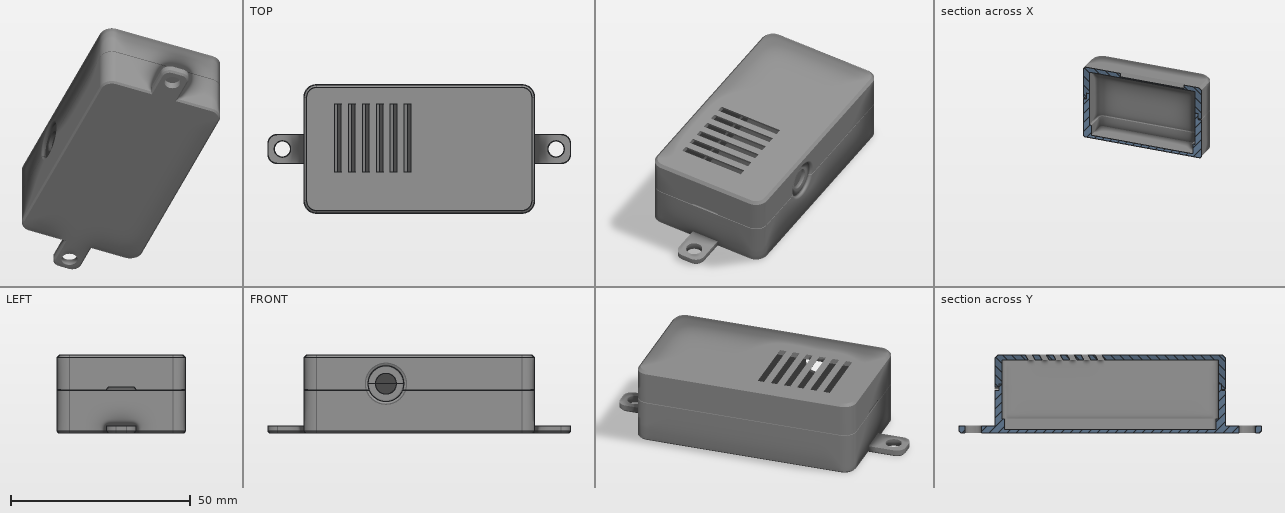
import cadquery as cq
import math

total_length = 84.3
box_length = 64.3
box_width = 35.8
box_height = 21.75
corner_radius = 3.5
top_chamfer = 0.8
bottom_chamfer = 0.5

split_height = 11.9
wall = 2.0
joint_gap = 0.2
lip_thickness = 1.0
lip_height = 1.85
lip_top = split_height + lip_height
roof_thickness = 1.5
floor_thickness = 1.0

ledge_width = 0.7
ledge_top = 4.05

tab_width = 8.1
tab_thickness = 2.0
tab_corner_radius = 2.6
tab_hole_diameter = 4.5
tab_hole_inset = 4.05

port_x = -9.3
port_z = lip_top
port_diameter = 5.8
recess_diameter = 9.95
recess_depth = wall - lip_thickness
recess_rim_radius = 0.8

slot_count = 6
slot_pitch = 3.9
slot_width = 1.85
slot_length = 19.0
slot_tilt = 30.0
slot_slant = roof_thickness * math.tan(math.radians(slot_tilt))
first_slot_left = -23.6
slot_center_y = 3.0

notch_bottom_width = 8.8
notch_top_width = 7.1
notch_height = 0.9


def rounded_block(inset, bottom, top):
    """Box outline moved inward by inset, extruded from bottom to top."""
    block = cq.Workplane("XY", origin=(0, 0, bottom)).rect(box_length - 2 * inset, box_width - 2 * inset)
    return block.extrude(top - bottom).edges("|Z").fillet(corner_radius - inset)


def port_cutter():
    """Hole through the -Y wall with a wide round recess whose rim is rounded over."""
    outside = -box_width / 2
    recess_radius = recess_diameter / 2
    mouth_radius = recess_radius + recess_rim_radius
    inside = outside + 2 * wall
    profile = (
        cq.Workplane("XY", origin=(port_x, 0, port_z))
        .moveTo(0, outside)
        .lineTo(mouth_radius, outside)
        .radiusArc((recess_radius, outside + recess_rim_radius), recess_rim_radius)
        .lineTo(recess_radius, outside + recess_depth)
        .lineTo(port_diameter / 2, outside + recess_depth)
        .lineTo(port_diameter / 2, inside)
        .lineTo(0, inside)
        .close()
    )
    return profile.revolve(360, (0, 0, 0), (0, 1, 0))


def slot_cutter(left):
    """Vent slot whose long walls lean toward +X on the way down through the roof."""
    return (
        cq.Workplane("XZ", origin=(0, slot_center_y, 0))
        .polyline(
            [
                (left, box_height),
                (left + slot_width, box_height),
                (left + slot_width + slot_slant, box_height - roof_thickness),
                (left + slot_slant, box_height - roof_thickness),
            ]
        )
        .close()
        .extrude(slot_length / 2, both=True)
    )


def notch_cutter():
    """Trapezoidal notch through the lid skirt, down to the rim of the base."""
    return (
        cq.Workplane("YZ", origin=(-box_length / 2, 0, split_height))
        .polyline(
            [
                (-notch_bottom_width / 2, 0),
                (notch_bottom_width / 2, 0),
                (notch_top_width / 2, notch_height),
                (-notch_top_width / 2, notch_height),
            ]
        )
        .close()
        .extrude(wall - lip_thickness)
    )


def make_base():
    """Lower tray with a locating lip, an inner ledge and two mounting tabs."""
    tabs = cq.Workplane("XY").rect(total_length, tab_width).extrude(tab_thickness)
    tabs = tabs.edges("|Z").fillet(tab_corner_radius)
    base = rounded_block(0, 0, split_height).union(tabs)
    base = base.faces("<Z").edges().chamfer(bottom_chamfer)
    hole_spacing = total_length - 2 * tab_hole_inset
    base = base.cut(
        cq.Workplane("XY").rarray(hole_spacing, 0.85, 2, 1).circle(tab_hole_diameter / 2).extrude(tab_thickness)
    )
    base = base.union(rounded_block(wall - lip_thickness, split_height - lip_height, lip_top))
    base = base.cut(rounded_block(wall, ledge_top, lip_top))
    base = base.cut(rounded_block(wall + ledge_width, floor_thickness, ledge_top))
    return base.cut(port_cutter())


def make_lid():
    """Upper shell whose skirt fits around the lip of the base."""
    lid = rounded_block(0, split_height + joint_gap, box_height).faces(">Z").edges().chamfer(top_chamfer)
    lid = lid.cut(rounded_block(wall - lip_thickness, split_height, lip_top))
    lid = lid.cut(rounded_block(wall, split_height, box_height - roof_thickness))
    for index in range(slot_count):
        lid = lid.cut(slot_cutter(first_slot_left + index * slot_pitch))
    return lid.cut(notch_cutter()).cut(port_cutter())


base = make_base()
lid = make_lid()

result = cq.Compound.makeCompound([base.val(), lid.val()])